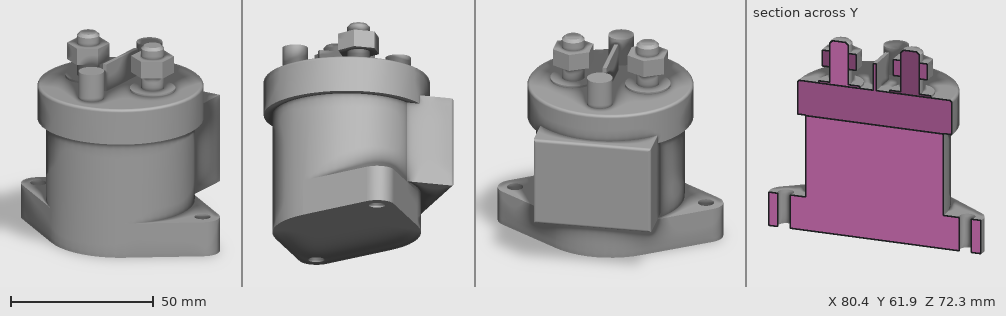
import cadquery as cq
import math

can_radius = 26.05
flange_height = 12.6
flange_length = 80.43
flange_end_radius = 6.1
mount_hole_diameter = 5.7
mount_hole_x = flange_length / 2 - flange_end_radius

lid_radius = 29.15
lid_bottom = 43.0
lid_top = 55.85
lid_edge_fillet = 1.0

post_radius = 4.5
post_y = 19.0
post_top = 65.8
barrier_thickness = 1.4
barrier_length = 20.6

block_width = 42.0
block_bottom = 14.1
block_top = 46.1
block_back_y = 32.75
block_edge_fillet = 1.0

stud_radius = 4.0
stud_x = 13.35
stud_top = 72.3
stud_tip_chamfer = 1.0
collar_radius = 8.0
collar_height = 0.8

nut_across_flats = 13.0
nut_bottom = 62.2
nut_height = 6.1

sides = (-1, 1)


def cylinder(radius, bottom, top, x=0.0, y=0.0):
    """Upright cylinder between two heights."""
    return cq.Workplane("XY", origin=(x, y, bottom)).circle(radius).extrude(top - bottom)


def make_flange():
    """Base plate whose straight sides are tangent to the can and to both rounded ends."""
    tangent_sine = (can_radius - flange_end_radius) / mount_hole_x
    tangent_cosine = math.sqrt(1 - tangent_sine**2)
    can_x = can_radius * tangent_sine
    can_y = can_radius * tangent_cosine
    end_x = mount_hole_x + flange_end_radius * tangent_sine
    end_y = flange_end_radius * tangent_cosine
    tip_x = flange_length / 2
    return (
        cq.Workplane("XY")
        .moveTo(-can_x, -can_y)
        .threePointArc((0, -can_radius), (can_x, -can_y))
        .lineTo(end_x, -end_y)
        .threePointArc((tip_x, 0), (end_x, end_y))
        .lineTo(can_x, can_y)
        .threePointArc((0, can_radius), (-can_x, can_y))
        .lineTo(-end_x, end_y)
        .threePointArc((-tip_x, 0), (-end_x, -end_y))
        .close()
        .extrude(flange_height)
        .pushPoints([(side * mount_hole_x, 0) for side in sides])
        .circle(mount_hole_diameter / 2)
        .cutThruAll()
    )


def make_connector_block():
    """Block reaching from the can's axis to its rear face, which has rounded edges."""
    return (
        cq.Workplane("XY", origin=(0, block_back_y / 2, block_bottom))
        .rect(block_width, block_back_y)
        .extrude(block_top - block_bottom)
        .faces(">Y")
        .edges()
        .fillet(block_edge_fillet)
    )


def make_housing():
    """Can, flange and connector block; the block is hollowed where the lid sits against it."""
    lid_seat = cylinder(lid_radius, lid_bottom, lid_top)
    return (
        cylinder(can_radius, 0, lid_bottom)
        .union(make_flange())
        .union(make_connector_block().cut(lid_seat))
    )


def make_lid():
    """Round lid with two guide posts and the barrier between the terminals."""
    lid = cylinder(lid_radius, lid_bottom, lid_top).faces(">Z").edges().fillet(lid_edge_fillet)
    for side in sides:
        lid = lid.union(cylinder(post_radius, lid_top, post_top, y=side * post_y))
    barrier = (
        cq.Workplane("XY", origin=(0, 0, lid_top))
        .rect(barrier_thickness, barrier_length)
        .extrude(post_top - lid_top)
    )
    return lid.union(barrier)


def make_stud(x):
    """Terminal stud with a chamfered tip, standing on its collar."""
    shank = cylinder(stud_radius, lid_top, stud_top, x).faces(">Z").chamfer(stud_tip_chamfer)
    return shank.union(cylinder(collar_radius, lid_top, lid_top + collar_height, x))


def make_nut(x):
    """Hexagon nut around a stud, with two flats facing along X."""
    return (
        cq.Workplane("XY", origin=(x, 0, nut_bottom))
        .polygon(6, nut_across_flats, circumscribed=True)
        .circle(stud_radius)
        .extrude(nut_height)
    )


housing = make_housing()
lid = make_lid()
studs = [make_stud(side * stud_x) for side in sides]
nuts = [make_nut(side * stud_x) for side in sides]

result = cq.Compound.makeCompound(
    [
        housing.val(),
        lid.val(),
        *[stud.val() for stud in studs],
        *[nut.val() for nut in nuts],
    ]
)